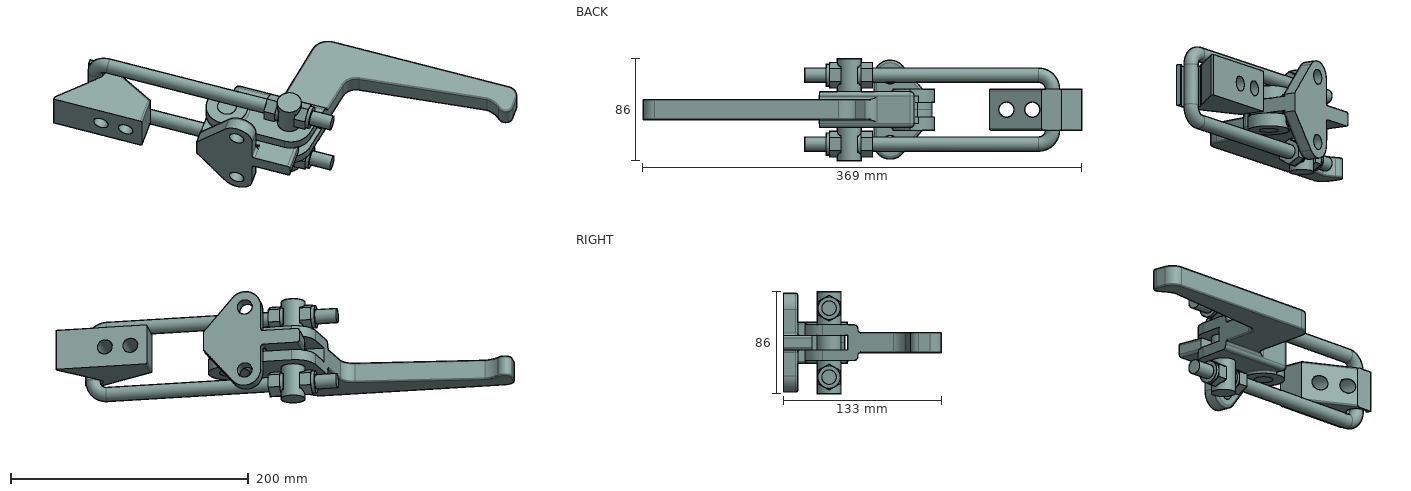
import cadquery as cq
import math


CATCH_LENGTH = 78.0
CATCH_WIDTH = 34.7
CATCH_HEIGHT = 48.0
CATCH_REAR_HEIGHT = 23.5
CATCH_TOE_HEIGHT = 2.2
CATCH_LIP_X = 17.0
CATCH_LIP_Y = 44.0
CATCH_CREST_X = 34.0
CATCH_SLOPE_END_X = 27.7
CATCH_HOLE_DIAMETER = 12.5
CATCH_HOLE_XS = (41.7, 63.5)
CATCH_EDGE_RADIUS = 1.5
SEAT_DIAMETER = 16.2

BOLT_Y = 38.5
BOLT_DIAMETER = 12.0
BOLT_SPACING = 58.0
BOLT_HALF_SPACING = BOLT_SPACING / 2
BOLT_BEND_X = 24.7
BOLT_BEND_RADIUS = 11.8
BOLT_END_X = 233.3
TRUNNION_X = 195.5
TRUNNION_DIAMETER = 20.3
TRUNNION_LENGTH = 86.0
NUT_SEAT_OFFSET = 7.0
NUT_ACROSS_FLATS = 19.0
NUT_HEX_LENGTH = 9.5
NUT_COLLAR_LENGTH = 3.0
NUT_LENGTH = NUT_HEX_LENGTH + NUT_COLLAR_LENGTH

PIVOT_X = 141.5
PIVOT_Y = 36.0
PIVOT_DIAMETER = 16.0

WEB_THICKNESS = 12.0
WEB_END_X = 208.2
WEB_HEIGHT = 24.0
WEB_EAR_RADIUS = 15.5
WEB_END_RADIUS = 2.2
BASE_LEFT_X = PIVOT_X - WEB_EAR_RADIUS
PLATE_THICKNESS = 12.0
PLATE_NOSE_HALF_WIDTH = 7.8
PLATE_LOBE_X = 161.5
PLATE_LOBE_Z = 28.0
PLATE_LOBE_RADIUS = 13.5
PLATE_HOLE_DIAMETER = 12.5
PLATE_EDGE_RADIUS = 2.2
PLATE_INNER_RADIUS = 2.2
WEB_ROOT_RADIUS = 2.0

FORK_WIDTH = 30.3
FORK_BOTTOM_Y = 18.0
FORK_TOP_Y = 62.8
FORK_LEFT_X = 141.0
FORK_END_X = 198.0
FORK_END_RADIUS = PIVOT_Y - FORK_BOTTOM_Y
FORK_EDGE_RADIUS = 3.7
SLOT_TOP_Y = 54.0
BOSS_DIAMETER = 35.0
BOSS_WIDTH = 34.7
BOSS_FILLET_RADIUS = 2.0
NECK_FILLET_RADIUS = 3.7
ARM_WIDTH = 17.5
ARM_TOP_Y = 133.0
ARM_EDGE_RADIUS = 1.0
ARM_FRONT_LEAN = 9.2
REAR_LEAN = 10.0
ARM_FRONT_TOP_X = 192.5
ARM_KNEE_RADIUS = 14.8
ARM_ROOT_RADIUS = 10.0
ARM_CROOK_Y = 101.5
ARM_CROOK_RADIUS = 12.0
ARM_FOOT_RADIUS = 2.0
TIP_X = 369.0
TIP_CORNER_RADIUS = 9.5
GRIP_END = (346.0, 114.8)
TIP_DIP = (352.5, 113.0)
TIP_INFLECTION = (357.7, 109.5)
TIP_LOWEST = (363.3, 107.0)
TIP_SIDE_Y = 113.7


def z_cylinder(x, y, diameter, length):
    """Cylinder along Z, centred on Z = 0."""
    return cq.Workplane("XY").center(x, y).circle(diameter / 2).extrude(length / 2, both=True)


def y_cylinder(x, z, diameter, length):
    """Cylinder along Y, rising from the mounting face."""
    return cq.Workplane("XZ").center(x, z).circle(diameter / 2).extrude(-length)


def block(x_range, y_range, width):
    """Box between two X and two Y limits, centred on Z = 0."""
    x_size = x_range[1] - x_range[0]
    y_size = y_range[1] - y_range[0]
    corner = (x_range[0], y_range[0], -width / 2)
    return cq.Workplane("XY").box(x_size, y_size, width, centered=False).translate(corner)


def hollow_foot(x_range, bottom_y, rib_width, radius):
    """Hollow fillets along X on both sides of a rib that stands on a flat face."""
    half_width = rib_width / 2 + radius
    top_y = bottom_y + radius
    foot = block(x_range, (bottom_y, top_y), 2 * half_width)
    for z in (-half_width, half_width):
        foot = foot.cut(cq.Workplane("YZ").center(top_y, z).circle(radius).extrude(x_range[1]))
    return foot


def round_corner(solid, point, radius):
    """Round the Z-parallel edge that passes through an outline point."""
    nearest = cq.selectors.NearestToPointSelector((point[0], point[1], 0))
    return solid.edges("|Z").edges(nearest).fillet(radius)


def make_catch():
    slope_end_y = CATCH_TOE_HEIGHT + CATCH_SLOPE_END_X
    body = (
        cq.Workplane("XY")
        .moveTo(0, 0)
        .lineTo(CATCH_LENGTH, 0)
        .lineTo(CATCH_LENGTH, CATCH_REAR_HEIGHT)
        .lineTo(CATCH_CREST_X, CATCH_HEIGHT)
        .lineTo(CATCH_LIP_X, CATCH_HEIGHT)
        .lineTo(CATCH_LIP_X, CATCH_LIP_Y)
        .lineTo(CATCH_SLOPE_END_X, CATCH_LIP_Y)
        .lineTo(CATCH_SLOPE_END_X, slope_end_y)
        .lineTo(0, CATCH_TOE_HEIGHT)
        .close()
        .extrude(CATCH_WIDTH / 2, both=True)
    )
    rear_edges = cq.selectors.BoxSelector(
        (CATCH_CREST_X, CATCH_TOE_HEIGHT, -CATCH_WIDTH),
        (CATCH_LENGTH + 3.7, CATCH_HEIGHT, CATCH_WIDTH),
    )
    body = body.faces("<Z or >Z").edges(rear_edges).fillet(CATCH_EDGE_RADIUS)
    body = body.cut(z_cylinder(BOLT_BEND_X, BOLT_Y, SEAT_DIAMETER, 2 * CATCH_WIDTH))
    for x in CATCH_HOLE_XS:
        body = body.cut(y_cylinder(x, 0, CATCH_HOLE_DIAMETER, CATCH_HEIGHT))
    return body


def make_u_bolt():
    bend_end_x = BOLT_BEND_X + BOLT_BEND_RADIUS
    bend_end_z = BOLT_HALF_SPACING - BOLT_BEND_RADIUS
    path = (
        cq.Workplane("XZ", origin=(0, BOLT_Y, 0))
        .moveTo(BOLT_END_X, BOLT_HALF_SPACING)
        .lineTo(bend_end_x, BOLT_HALF_SPACING)
        .tangentArcPoint((BOLT_BEND_X, bend_end_z), relative=False)
        .lineTo(BOLT_BEND_X, -bend_end_z)
        .tangentArcPoint((bend_end_x, -BOLT_HALF_SPACING), relative=False)
        .lineTo(BOLT_END_X, -BOLT_HALF_SPACING)
    )
    end_plane = cq.Workplane("YZ", origin=(BOLT_END_X, BOLT_Y, BOLT_HALF_SPACING))
    return end_plane.circle(BOLT_DIAMETER / 2).sweep(path)


def make_nut(left_x, z):
    """Hex nut along X with a corner on top and a round collar on its +X end."""
    across_corners = NUT_ACROSS_FLATS / math.cos(math.radians(30))
    hexagon = (
        cq.Workplane("YZ", origin=(left_x, BOLT_Y, z))
        .transformed(rotate=(0, 0, 90))
        .polygon(6, across_corners)
        .extrude(NUT_HEX_LENGTH)
    )
    collar = (
        cq.Workplane("YZ", origin=(left_x + NUT_HEX_LENGTH, BOLT_Y, z))
        .circle(NUT_ACROSS_FLATS / 2)
        .extrude(NUT_COLLAR_LENGTH)
    )
    return hexagon.union(collar)


def make_base():
    run = PLATE_LOBE_X - BASE_LEFT_X
    rise = PLATE_LOBE_Z - PLATE_NOSE_HALF_WIDTH
    slant = math.atan2(rise, run) + math.asin(PLATE_LOBE_RADIUS / math.hypot(run, rise))
    tangent_x = PLATE_LOBE_X - PLATE_LOBE_RADIUS * math.sin(slant)
    tangent_z = PLATE_LOBE_Z + PLATE_LOBE_RADIUS * math.cos(slant)
    lobe_tip_z = PLATE_LOBE_Z + PLATE_LOBE_RADIUS
    plate_right_x = PLATE_LOBE_X + PLATE_LOBE_RADIUS
    plate = (
        cq.Workplane("XZ")
        .moveTo(BASE_LEFT_X, -PLATE_NOSE_HALF_WIDTH)
        .lineTo(BASE_LEFT_X, PLATE_NOSE_HALF_WIDTH)
        .lineTo(tangent_x, tangent_z)
        .threePointArc((PLATE_LOBE_X, lobe_tip_z), (plate_right_x, PLATE_LOBE_Z))
        .lineTo(plate_right_x, -PLATE_LOBE_Z)
        .threePointArc((PLATE_LOBE_X, -lobe_tip_z), (tangent_x, -tangent_z))
        .close()
        .extrude(-PLATE_THICKNESS)
    )
    web_foot = block((PLATE_LOBE_X, WEB_END_X - WEB_END_RADIUS), (0, PLATE_THICKNESS), WEB_THICKNESS)
    plate = plate.union(web_foot)
    for z in (-WEB_THICKNESS / 2, WEB_THICKNESS / 2):
        inner_corner = cq.selectors.NearestToPointSelector((plate_right_x, PLATE_THICKNESS / 2, z))
        plate = plate.edges("|Y").edges(inner_corner).fillet(PLATE_INNER_RADIUS)
    plate = plate.faces(">Y").edges().fillet(PLATE_EDGE_RADIUS)

    web = block((BASE_LEFT_X, WEB_END_X), (0, WEB_HEIGHT), WEB_THICKNESS)
    web = web.faces(">X").edges("|Y").fillet(WEB_END_RADIUS)
    ear = block((BASE_LEFT_X, PIVOT_X + WEB_EAR_RADIUS), (0, PIVOT_Y), WEB_THICKNESS)
    ear = ear.union(z_cylinder(PIVOT_X, PIVOT_Y, 2 * WEB_EAR_RADIUS, WEB_THICKNESS))

    root_range = (BASE_LEFT_X, plate_right_x + PLATE_INNER_RADIUS)
    web_root = hollow_foot(root_range, PLATE_THICKNESS, WEB_THICKNESS, WEB_ROOT_RADIUS)

    base = plate.union(web).union(ear).union(web_root)
    for z in (-PLATE_LOBE_Z, PLATE_LOBE_Z):
        base = base.cut(y_cylinder(PLATE_LOBE_X, z, PLATE_HOLE_DIAMETER, PLATE_THICKNESS))
    return base.cut(z_cylinder(PIVOT_X, PIVOT_Y, PIVOT_DIAMETER, WEB_THICKNESS))


def rear_x(y):
    """X of the lever's leaning rear side at a height, tangent to the fork's round corner."""
    lean = math.radians(REAR_LEAN)
    return FORK_END_X + FORK_END_RADIUS / math.cos(lean) + (y - PIVOT_Y) * math.tan(lean)


def make_fork():
    """Solid block of the fork, its lower rear corner rounded."""
    tangent_y = PIVOT_Y - FORK_END_RADIUS * math.sin(math.radians(REAR_LEAN))
    diagonal = FORK_END_RADIUS / math.sqrt(2)
    fork = (
        cq.Workplane("XY")
        .moveTo(FORK_LEFT_X, FORK_BOTTOM_Y)
        .lineTo(FORK_END_X, FORK_BOTTOM_Y)
        .threePointArc((FORK_END_X + diagonal, PIVOT_Y - diagonal), (rear_x(tangent_y), tangent_y))
        .lineTo(rear_x(FORK_TOP_Y), FORK_TOP_Y)
        .lineTo(FORK_LEFT_X, FORK_TOP_Y)
        .close()
        .extrude(FORK_WIDTH / 2, both=True)
    )
    front_and_top = fork.faces("<X").edges("|Y or >Y").add(fork.faces(">Y").edges("<Z or >Z"))
    return front_and_top.fillet(FORK_EDGE_RADIUS)


def make_arm_outline(width):
    """Cranked arm of a given width with its corners rounded, rooted inside the fork."""
    drop = ARM_TOP_Y - FORK_TOP_Y
    front_root = (ARM_FRONT_TOP_X - drop * math.tan(math.radians(ARM_FRONT_LEAN)), FORK_TOP_Y)
    foot_x = front_root[0] - 2 * ARM_ROOT_RADIUS
    crook = (rear_x(ARM_CROOK_Y), ARM_CROOK_Y)
    arm = (
        cq.Workplane("XY")
        .moveTo(rear_x(SLOT_TOP_Y), SLOT_TOP_Y)
        .lineTo(*crook)
        .lineTo(*GRIP_END)
        .threePointArc(TIP_DIP, TIP_INFLECTION)
        .threePointArc(TIP_LOWEST, (TIP_X, TIP_SIDE_Y))
        .lineTo(TIP_X, ARM_TOP_Y)
        .lineTo(ARM_FRONT_TOP_X, ARM_TOP_Y)
        .lineTo(*front_root)
        .lineTo(foot_x, FORK_TOP_Y)
        .lineTo(foot_x, SLOT_TOP_Y)
        .close()
        .extrude(width / 2, both=True)
    )
    arm = round_corner(arm, crook, ARM_CROOK_RADIUS)
    arm = round_corner(arm, (TIP_X, ARM_TOP_Y), TIP_CORNER_RADIUS)
    arm = round_corner(arm, (ARM_FRONT_TOP_X, ARM_TOP_Y), ARM_KNEE_RADIUS)
    return round_corner(arm, front_root, ARM_ROOT_RADIUS)


def make_arm():
    arm = make_arm_outline(ARM_WIDTH)
    free_edges = cq.selectors.BoxSelector(
        (FORK_LEFT_X, FORK_TOP_Y + ARM_FOOT_RADIUS, -ARM_WIDTH),
        (TIP_X + 3.7, ARM_TOP_Y + 3.7, ARM_WIDTH),
    )
    arm = arm.faces("<Z or >Z").edges(free_edges).fillet(ARM_EDGE_RADIUS)

    foot = hollow_foot((FORK_LEFT_X, TIP_X), FORK_TOP_Y, ARM_WIDTH, ARM_FOOT_RADIUS)
    return arm.union(foot.intersect(make_arm_outline(FORK_WIDTH)))


def make_boss():
    """Pivot boss with a hollow fillet onto each side of the fork and one up its front."""
    boss = z_cylinder(PIVOT_X, PIVOT_Y, BOSS_DIAMETER, BOSS_WIDTH)
    flare_radius = BOSS_DIAMETER / 2 + BOSS_FILLET_RADIUS
    side_z = FORK_WIDTH / 2
    flare = (
        cq.Workplane("XZ", origin=(PIVOT_X, PIVOT_Y, 0))
        .moveTo(0, 0)
        .lineTo(flare_radius, 0)
        .lineTo(flare_radius, side_z)
        .radiusArc((BOSS_DIAMETER / 2, side_z + BOSS_FILLET_RADIUS), BOSS_FILLET_RADIUS)
        .lineTo(0, side_z + BOSS_FILLET_RADIUS)
        .close()
        .revolve(360, (0, 0, 0), (0, 1, 0))
    )
    flare = flare.union(flare.mirror("XY"))
    over_fork = block(
        (FORK_LEFT_X + FORK_EDGE_RADIUS, TRUNNION_X), (FORK_BOTTOM_Y, FORK_TOP_Y), BOSS_WIDTH
    )
    boss = boss.union(flare.intersect(over_fork))

    boss_top_y = PIVOT_Y + BOSS_DIAMETER / 2
    neck_x = FORK_LEFT_X - NECK_FILLET_RADIUS
    neck_y = boss_top_y + NECK_FILLET_RADIUS
    neck_width = FORK_WIDTH - 2 * FORK_EDGE_RADIUS
    neck = block((neck_x, FORK_LEFT_X), (PIVOT_Y, neck_y), neck_width)
    neck = neck.cut(z_cylinder(neck_x, neck_y, 2 * NECK_FILLET_RADIUS, FORK_WIDTH))
    return boss.union(neck)


def make_lever():
    lever = make_fork().union(make_boss()).union(make_arm())
    lever = lever.cut(block((0, TIP_X), (0, SLOT_TOP_Y), WEB_THICKNESS))
    lever = lever.cut(z_cylinder(PIVOT_X, PIVOT_Y, PIVOT_DIAMETER, BOSS_WIDTH))
    return lever.cut(z_cylinder(TRUNNION_X, BOLT_Y, TRUNNION_DIAMETER, BOSS_WIDTH))


catch = make_catch()
u_bolt = make_u_bolt()
base = make_base()
lever = make_lever()
pivot_pin = z_cylinder(PIVOT_X, PIVOT_Y, PIVOT_DIAMETER, BOSS_WIDTH)

trunnion = z_cylinder(TRUNNION_X, BOLT_Y, TRUNNION_DIAMETER, TRUNNION_LENGTH).cut(u_bolt)
nuts = []
for nut_z in (-BOLT_HALF_SPACING, BOLT_HALF_SPACING):
    for nut_x in (TRUNNION_X - NUT_SEAT_OFFSET - NUT_LENGTH, TRUNNION_X + NUT_SEAT_OFFSET):
        nut = make_nut(nut_x, nut_z)
        trunnion = trunnion.cut(nut)
        nuts.append(nut.cut(u_bolt))

result = cq.Compound.makeCompound([
    catch.val(),
    u_bolt.val(),
    base.val(),
    lever.val(),
    pivot_pin.val(),
    trunnion.val(),
    *[nut.val() for nut in nuts],
])